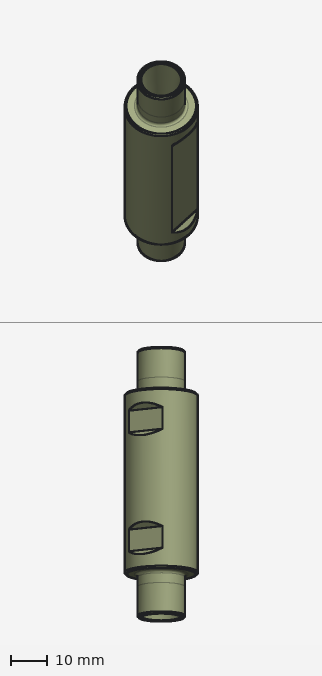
import cadquery as cq
import math

total_length = 74.0
body_length = 50.0
body_diameter = 20.0
spigot_diameter = 13.0
bore_diameter = 7.5

body_chamfer = 0.5
spigot_chamfer = 0.5
root_fillet = 0.8

outer_stretch_length = 8.5

seat_diameter = 10.9
mouth_diameter = 11.3
mouth_chamfer_depth = 0.3
seat_cone_angle = 16.0

flat_depth = 1.5
short_flat_length = 9.0
flat_end_margin = 4.0

body_radius = body_diameter / 2
spigot_radius = spigot_diameter / 2
spigot_length = (total_length - body_length) / 2
body_bottom = spigot_length
long_flat_length = body_length - 2 * flat_end_margin
seat_radius = seat_diameter / 2
mouth_radius = mouth_diameter / 2
bore_radius = bore_diameter / 2
seat_cone_length = (seat_radius - bore_radius) / math.tan(math.radians(seat_cone_angle / 2))
seat_depth = mouth_chamfer_depth + seat_cone_length
middle_height = total_length / 2


def make_spigot():
    """Lower spigot standing on z = 0, made of two coaxial stretches."""
    outer_stretch = (
        cq.Workplane("XY")
        .circle(spigot_radius)
        .extrude(outer_stretch_length)
        .faces("<Z")
        .chamfer(spigot_chamfer)
    )
    root_radius = spigot_radius + root_fillet
    neck = (
        cq.Workplane("XZ")
        .moveTo(0, outer_stretch_length)
        .lineTo(spigot_radius, outer_stretch_length)
        .lineTo(spigot_radius, spigot_length - root_fillet)
        .radiusArc((root_radius, spigot_length), root_fillet)
        .lineTo(0, spigot_length)
        .close()
        .revolve(360, (0, 0, 0), (0, 1, 0))
    )
    return outer_stretch.union(neck, clean=False)


def make_body():
    """Main cylinder with chamfered ends."""
    return (
        cq.Workplane("XY")
        .workplane(offset=body_bottom)
        .circle(body_radius)
        .extrude(body_length)
        .faces("<Z or >Z")
        .chamfer(body_chamfer)
    )


def make_seat():
    """Cutter for the lower spigot mouth: an edge chamfer, then a long cone down to the bore."""
    return (
        cq.Workplane("XZ")
        .lineTo(mouth_radius, 0)
        .lineTo(seat_radius, mouth_chamfer_depth)
        .lineTo(bore_radius, seat_depth)
        .lineTo(0, seat_depth)
        .close()
        .revolve(360, (0, 0, 0), (0, 1, 0))
    )


def make_flat_cutter(side, bottom, length):
    """Cutter for one flat on the +X (side = 1) or -X (side = -1) flank."""
    outer_x = side * body_radius
    floor_x = side * (body_radius - flat_depth)
    return (
        cq.Workplane("XZ")
        .moveTo(outer_x, bottom)
        .lineTo(floor_x, bottom + flat_depth)
        .lineTo(floor_x, bottom + length - flat_depth)
        .lineTo(outer_x, bottom + length)
        .close()
        .extrude(body_radius, both=True)
    )


def mirror_to_top(shape):
    """Copy of a lower-end shape at the upper end."""
    return shape.mirror("XY", (0, 0, middle_height))


spigot = make_spigot()
seat = make_seat()
bore = cq.Workplane("XY").circle(bore_radius).extrude(total_length)

lowest_flat = body_bottom + flat_end_margin
short_flat = make_flat_cutter(-1, lowest_flat, short_flat_length)
long_flat = make_flat_cutter(1, lowest_flat, long_flat_length)

result = make_body()
for end_spigot in (spigot, mirror_to_top(spigot)):
    result = result.union(end_spigot, clean=False)
for cutter in (bore, seat, mirror_to_top(seat), short_flat, mirror_to_top(short_flat), long_flat):
    result = result.cut(cutter, clean=False)